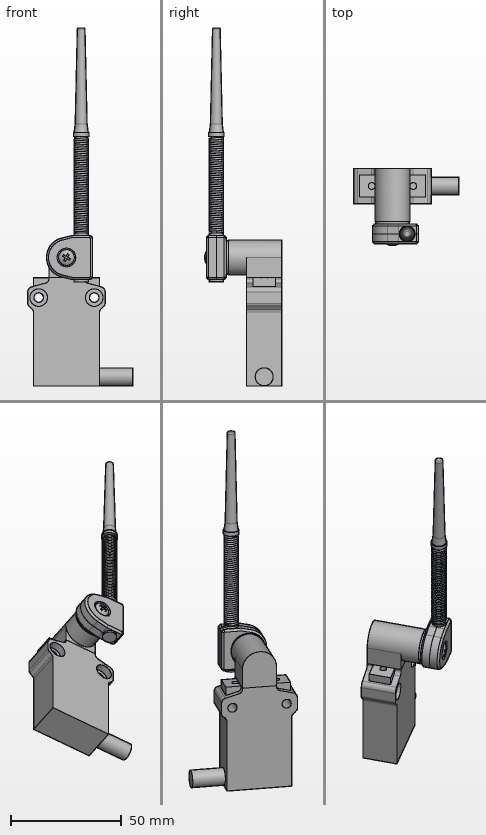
import cadquery as cq
import math


TOTAL_LENGTH = 47.5
TOTAL_HEIGHT = 161.5

BODY_WIDTH = 29.9
BODY_DEPTH = 16.0
BODY_TOP = 49.0
HEAD_RADIUS = 7.9
MID_Y = -BODY_DEPTH / 2

EAR_SPAN = 35.0
EAR_BASE_Z = 36.7
EAR_SLOPE = 15.0
EAR_ROOT_Z = 46.8
EAR_TOP_FILLET = 2.5
EAR_BASE_FILLET = 1.6
NECK_FILLET = 2.0

MOUNT_SPACING = 25.0
MOUNT_Z = 39.9
MOUNT_DIAMETER = 4.2
COUNTERBORE_DIAMETER = 7.9
COUNTERBORE_DEPTH = 3.5

BLOCK_DEPTH = 10.0
BLOCK_BASE_Z = 40.4
BLOCK_HOLE_X = 9.4
BLOCK_HOLE_DIAMETER = 3.0
BLOCK_HOLE_DEPTH = 3.2

AXIS_Z = 58.0
BARREL_LENGTH = 24.0
NOSE_RADIUS = 7.6
NOSE_END = 25.0

CABLE_DIAMETER = 8.0
CABLE_END_X = TOTAL_LENGTH - EAR_SPAN / 2
CABLE_Z = 4.2

LEVER_THICKNESS = 9.0
LEVER_RADIUS = 9.0
LEVER_HEIGHT = 20.0
LEVER_TIP_X = 11.8
LEVER_SLOPE = 14.0
LEVER_CHAMFER = 1.0
LEVER_BACK = -NOSE_END
LEVER_MID = LEVER_BACK - LEVER_THICKNESS / 2
LEVER_FRONT = LEVER_BACK - LEVER_THICKNESS

SCREW_RECESS_RADIUS = 4.2
SCREW_RECESS_DEPTH = 2.0
SCREW_HEAD_RADIUS = 3.5
SCREW_RIM_HEIGHT = 1.5
SCREW_END = 34.9
SHANK_RADIUS = 1.8
SHANK_END = -18.5
CROSS_LENGTH = 3.5
CROSS_WIDTH = 0.8
CROSS_DEPTH = 1.3
CROSS_TILT = 30

ROD_X = 6.6
ROD_OVERHANG = 1.0
PLUG_RADIUS = 3.2
COIL_DIAMETER = 6.6
COIL_PITCH = 1.0
WIRE_RADIUS = 0.5
CORE_RADIUS = COIL_DIAMETER / 2 - 2 * WIRE_RADIUS
RING_RADIUS = 3.5
RING_BOTTOM = 112.4
RING_TOP = 114.3
CONE_BASE_RADIUS = 3.2
CONE_TOP = 118.2
TAPER_BASE_RADIUS = 2.7
TIP_RADIUS = 1.8
TIP_FILLET = 0.6

LEVER_TOP = AXIS_Z + LEVER_HEIGHT / 2
LEVER_BOTTOM = AXIS_Z - LEVER_HEIGHT / 2
PLUG_BOTTOM = LEVER_BOTTOM - ROD_OVERHANG
PLUG_TOP = LEVER_TOP + ROD_OVERHANG


def cylinder_y(radius, y_start, y_end, x=0.0, z=AXIS_Z):
    """Cylinder along Y between two Y positions."""
    length = y_end - y_start
    return cq.Workplane("XY").add(
        cq.Solid.makeCylinder(radius, length, cq.Vector(x, y_start, z), cq.Vector(0, 1, 0))
    )


def extrude_y(profile, y_front, y_back):
    """Extrude an XZ profile from its front Y position to its back one."""
    return profile.extrude(-(y_back - y_front)).translate((0, y_front, 0))


def round_corners(solid, x, z, radius):
    """Fillet the matching pair of Y edges at +x and -x."""
    margin = 0.2
    for side in (-1, 1):
        near_corner = cq.selectors.BoxSelector(
            (side * x - margin, -BODY_DEPTH, z - margin),
            (side * x + margin, 0, z + margin),
        )
        solid = solid.edges("|Y").edges(near_corner).fillet(radius)
    return solid


def make_housing():
    half_body = BODY_WIDTH / 2
    half_ear = EAR_SPAN / 2
    step = half_ear - half_body
    ear_edge_z = EAR_ROOT_Z - (half_ear - HEAD_RADIUS) * math.tan(math.radians(EAR_SLOPE))
    right_side = [
        (half_body, 0),
        (half_body, EAR_BASE_Z - step),
        (half_ear, EAR_BASE_Z),
        (half_ear, ear_edge_z),
        (HEAD_RADIUS, EAR_ROOT_Z),
        (HEAD_RADIUS, BODY_TOP),
    ]
    left_side = [(-x, z) for x, z in reversed(right_side)]
    outline = cq.Workplane("XZ").polyline(right_side + left_side).close()
    body = outline.extrude(BODY_DEPTH)
    body = round_corners(body, half_ear, ear_edge_z, EAR_TOP_FILLET)
    body = round_corners(body, HEAD_RADIUS, EAR_ROOT_Z, NECK_FILLET)
    body = round_corners(body, half_ear, EAR_BASE_Z, EAR_BASE_FILLET)
    body = round_corners(body, half_body, EAR_BASE_Z - step, EAR_BASE_FILLET)

    blocks = cq.Workplane("XY", origin=(0, MID_Y, BLOCK_BASE_Z)).rect(BODY_WIDTH, BLOCK_DEPTH)
    body = body.union(blocks.extrude(BODY_TOP - BLOCK_BASE_Z))

    recess_floor = -BODY_DEPTH + COUNTERBORE_DEPTH
    for side in (-1, 1):
        mount_x = side * MOUNT_SPACING / 2
        body = body.cut(cylinder_y(MOUNT_DIAMETER / 2, -BODY_DEPTH, 0, mount_x, MOUNT_Z))
        body = body.cut(
            cylinder_y(COUNTERBORE_DIAMETER / 2, -BODY_DEPTH, recess_floor, mount_x, MOUNT_Z)
        )
        block_hole = (
            cq.Workplane("XY", origin=(side * BLOCK_HOLE_X, MID_Y, BODY_TOP))
            .circle(BLOCK_HOLE_DIAMETER / 2)
            .extrude(-BLOCK_HOLE_DEPTH)
        )
        body = body.cut(block_hole)
    return body


def make_head():
    neck_height = AXIS_Z - BODY_TOP
    neck = cq.Workplane("XY").box(
        2 * HEAD_RADIUS, BODY_DEPTH, neck_height, centered=(True, True, False)
    ).translate((0, MID_Y, BODY_TOP))
    barrel = cylinder_y(HEAD_RADIUS, -BARREL_LENGTH, 0)
    nose = cylinder_y(NOSE_RADIUS, -NOSE_END, -BARREL_LENGTH)
    shank_hole = cylinder_y(SHANK_RADIUS, -NOSE_END, SHANK_END)
    return neck.union(barrel).union(nose).cut(shank_hole)


def make_cable():
    return (
        cq.Workplane("YZ", origin=(BODY_WIDTH / 2, MID_Y, CABLE_Z))
        .circle(CABLE_DIAMETER / 2)
        .extrude(CABLE_END_X - BODY_WIDTH / 2)
    )


def make_lever_half(y_front, y_back, outer_face):
    slope = math.radians(LEVER_SLOPE)
    half_height = LEVER_HEIGHT / 2
    tangent_x = -LEVER_RADIUS * math.sin(slope)
    tangent_z = LEVER_RADIUS * math.cos(slope)
    flat_x = tangent_x + (half_height - tangent_z) / math.tan(slope)
    profile = (
        cq.Workplane("XZ", origin=(0, 0, AXIS_Z))
        .moveTo(tangent_x, tangent_z)
        .threePointArc((-LEVER_RADIUS, 0), (tangent_x, -tangent_z))
        .lineTo(flat_x, -half_height)
        .lineTo(LEVER_TIP_X, -half_height)
        .lineTo(LEVER_TIP_X, half_height)
        .lineTo(flat_x, half_height)
        .close()
    )
    half = extrude_y(profile, y_front, y_back)
    half = half.edges("|Y and >X").chamfer(LEVER_CHAMFER)
    half = half.faces(outer_face).edges().chamfer(LEVER_CHAMFER)
    rod_hole = (
        cq.Workplane("XY", origin=(ROD_X, LEVER_MID, LEVER_BOTTOM))
        .circle(PLUG_RADIUS)
        .extrude(LEVER_HEIGHT)
    )
    return half.cut(rod_hole).cut(cylinder_y(SHANK_RADIUS, LEVER_FRONT, LEVER_BACK))


def make_lever_back():
    return make_lever_half(LEVER_MID, LEVER_BACK, ">Y")


def make_lever_front():
    screw_recess = cylinder_y(SCREW_RECESS_RADIUS, LEVER_FRONT, LEVER_FRONT + SCREW_RECESS_DEPTH)
    return make_lever_half(LEVER_FRONT, LEVER_MID, "<Y").cut(screw_recess)


def make_screw():
    seat_y = LEVER_FRONT + SCREW_RECESS_DEPTH
    rim_y = seat_y - SCREW_RIM_HEIGHT
    crown_y = -SCREW_END
    rise = rim_y - crown_y
    dome_radius = (SCREW_HEAD_RADIUS**2 + rise**2) / (2 * rise)
    half_angle = math.asin(SCREW_HEAD_RADIUS / dome_radius) / 2
    dome_middle = (
        dome_radius * math.sin(half_angle),
        crown_y + dome_radius * (1 - math.cos(half_angle)),
    )
    screw = (
        cq.Workplane("XY")
        .moveTo(0, SHANK_END)
        .lineTo(SHANK_RADIUS, SHANK_END)
        .lineTo(SHANK_RADIUS, seat_y)
        .lineTo(SCREW_HEAD_RADIUS, seat_y)
        .lineTo(SCREW_HEAD_RADIUS, rim_y)
        .threePointArc(dome_middle, (0, crown_y))
        .close()
        .revolve(360, (0, 0, 0), (0, 1, 0))
        .translate((0, 0, AXIS_Z))
    )
    slot_centre = (0, crown_y + CROSS_DEPTH / 2, AXIS_Z)
    for angle in (CROSS_TILT, CROSS_TILT + 90):
        slot = (
            cq.Workplane("XY")
            .box(CROSS_LENGTH, CROSS_DEPTH, CROSS_WIDTH)
            .rotate((0, 0, 0), (0, 1, 0), angle)
            .translate(slot_centre)
        )
        screw = screw.cut(slot)
    return screw


def rod_revolve(points):
    """Revolve a (radius, z) profile about the rod's axis."""
    return (
        cq.Workplane("XZ")
        .polyline(points)
        .close()
        .revolve(360, (0, 0, 0), (0, 1, 0))
        .translate((ROD_X, LEVER_MID, 0))
    )


def make_rod():
    return rod_revolve([
        (0, PLUG_BOTTOM),
        (PLUG_RADIUS, PLUG_BOTTOM),
        (PLUG_RADIUS, PLUG_TOP),
        (CORE_RADIUS, PLUG_TOP),
        (CORE_RADIUS, RING_BOTTOM),
        (RING_RADIUS, RING_BOTTOM),
        (RING_RADIUS, RING_TOP),
        (0, RING_TOP),
    ])


def make_spring():
    mean_radius = CORE_RADIUS + WIRE_RADIUS
    start_z = PLUG_TOP + WIRE_RADIUS
    height = RING_BOTTOM - PLUG_TOP - 2 * WIRE_RADIUS
    path = cq.Wire.makeHelix(COIL_PITCH, height, mean_radius)
    coil = (
        cq.Workplane("XZ", origin=(mean_radius, 0, 0))
        .circle(WIRE_RADIUS)
        .sweep(path, isFrenet=True)
    )
    return coil.translate((ROD_X, LEVER_MID, start_z))


def make_tip():
    tip = rod_revolve([
        (0, RING_TOP),
        (CONE_BASE_RADIUS, RING_TOP),
        (TAPER_BASE_RADIUS, CONE_TOP),
        (TIP_RADIUS, TOTAL_HEIGHT),
        (0, TOTAL_HEIGHT),
    ])
    return tip.faces(">Z").edges().fillet(TIP_FILLET)


housing = make_housing()
head = make_head()
cable = make_cable()
lever_back = make_lever_back()
lever_front = make_lever_front()
screw = make_screw()
rod = make_rod()
spring = make_spring()
tip = make_tip()

result = cq.Compound.makeCompound([
    housing.solids().val(),
    head.solids().val(),
    cable.solids().val(),
    lever_back.solids().val(),
    lever_front.solids().val(),
    screw.solids().val(),
    rod.solids().val(),
    spring.solids().val(),
    tip.solids().val(),
])